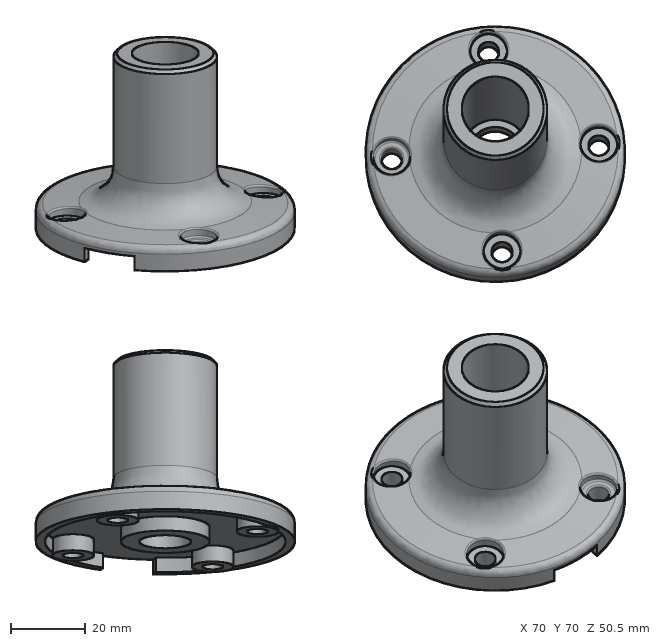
import cadquery as cq
import math

flange_radius = 35.0
flange_edge_height = 6.85
flange_taper = 4.0
rim_round = 2.0

post_radius = 14.0
post_top = 50.0
post_foot_round = 10.0
post_chamfer = 1.0

socket_radius = 9.0
socket_floor = 5.0
passage_radius = 7.0

wall_thickness = 2.5
cavity_height = 4.0
hub_radius = 11.95

notch_width = 15.0

screw_circle_radius = 28.0
screw_count = 4
first_screw_angle = 45.0
boss_radius = 5.6
boss_drop = 0.5
screw_hole_radius = 2.8
counterbore_radius = 5.0
counterbore_floor = 5.0
small_round = 0.5
rounded_screw = 3

box_margin = 0.1


def screw_position(index):
    angle = math.radians(first_screw_angle + index * 360.0 / screw_count)
    return screw_circle_radius * math.cos(angle), screw_circle_radius * math.sin(angle)


def cylinder(radius, bottom, top, position=(0, 0)):
    return cq.Workplane("XY", origin=(*position, bottom)).circle(radius).extrude(top - bottom)


def box_around(x, y, reach, bottom, top):
    """Selector for the edges that lie wholly inside a box centred on (x, y)."""
    half = reach + box_margin
    return cq.selectors.BoxSelector(
        (x - half, y - half, bottom - box_margin),
        (x + half, y + half, top + box_margin),
        boundingbox=True,
    )


def body_blank():
    """Solid flange and post, turned from one profile and then rounded."""
    taper_rise = (flange_radius - post_radius) * math.tan(math.radians(flange_taper))
    foot_height = flange_edge_height + taper_rise
    profile = [
        (0, 0),
        (flange_radius, 0),
        (flange_radius, flange_edge_height),
        (post_radius, foot_height),
        (post_radius, post_top),
        (0, post_top),
    ]
    blank = cq.Workplane("XZ").polyline(profile).close().revolve(360, (0, 0, 0), (0, 1, 0))
    blank = blank.faces(">Z").edges().chamfer(post_chamfer)
    rim_edge = box_around(0, 0, flange_radius, flange_edge_height, flange_edge_height)
    blank = blank.edges(rim_edge).fillet(rim_round)
    foot_edge = box_around(0, 0, post_radius, foot_height, foot_height)
    return blank.edges(foot_edge).fillet(post_foot_round)


def cavity():
    ring = cylinder(flange_radius - wall_thickness, 0, cavity_height)
    return ring.cut(cylinder(hub_radius, 0, cavity_height))


def notch():
    inner_y = -(flange_radius + hub_radius) / 2
    return (
        cq.Workplane("XY")
        .rect(notch_width, 2 * flange_radius)
        .extrude(cavity_height)
        .translate((0, inner_y - flange_radius, 0))
    )


result = body_blank().cut(cavity()).cut(notch())

result = result.cut(cylinder(socket_radius, socket_floor, post_top))
result = result.cut(cylinder(passage_radius, 0, socket_floor))

for i in range(screw_count):
    result = result.union(cylinder(boss_radius, -boss_drop, counterbore_floor, screw_position(i)))

mouth_low = flange_edge_height - small_round
mouth_high = flange_edge_height + rim_round
for i in range(screw_count):
    x, y = screw_position(i)
    result = result.cut(cylinder(counterbore_radius, counterbore_floor, post_top, (x, y)))
    result = result.edges(box_around(x, y, counterbore_radius, mouth_low, mouth_high)).fillet(small_round)
    result = result.cut(cylinder(screw_hole_radius, -boss_drop, counterbore_floor, (x, y)))

x, y = screw_position(rounded_screw)
seat = box_around(x, y, counterbore_radius, counterbore_floor, counterbore_floor)
result = result.edges(seat).fillet(small_round)